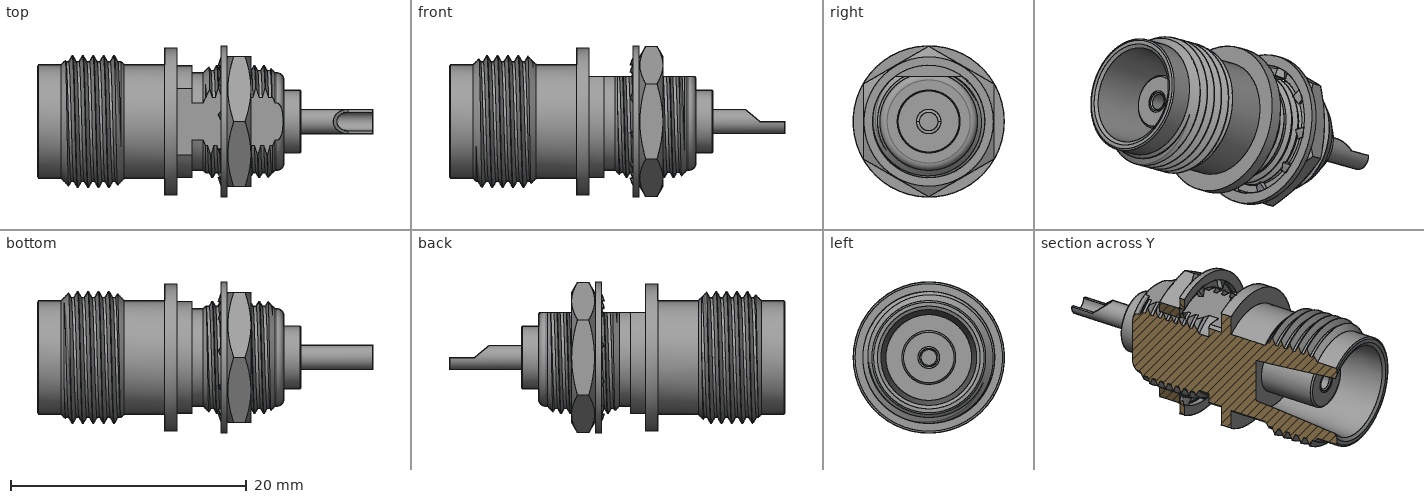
import cadquery as cq
import math


front_thread_start = 2.0
front_thread_end = 7.33
flange_start = 10.75
flange_end = 11.81
step_end = 13.1
rear_thread_start = 14.03
rear_thread_end = 20.1
barrel_end = 20.87
boss_end = 22.32
overall_length = 28.4

coupling_dia = 9.65
flange_dia = 12.5
step_dia = 9.5
neck_dia = 8.3
boss_dia = 5.35
pin_dia = 2.07

flat_height = 3.83
barrel_fillet = 0.62
boss_chamfer = 0.09
rim_chamfer_depth = 0.09
rim_chamfer_height = 0.15

front_thread_dia = 11.2
front_root_dia = 10.17
front_pitch = 0.88
front_crest_x = 2.73
rear_thread_dia = step_dia
rear_root_dia = 8.7
rear_pitch = 0.8
rear_crest_x = 15.0
crest_width = 0.05
ridge_embed = 0.09
flank_angle = 30.0
envelope_clearance = 0.28

socket_rim_dia = 8.72
socket_mouth_dia = 8.12
socket_floor_dia = 7.27
socket_mouth_x = 0.17
socket_floor_x = 8.25
dielectric_dia = 4.57
dielectric_front_x = 3.12
dielectric_chamfer = 0.15
contact_dia = 1.85
contact_recess = 0.05
contact_mouth_dia = 1.55
contact_hole_dia = 1.33
contact_taper = 0.1
contact_hole_depth = 2.85

cup_bore_dia = 1.55
cup_slope_start = 25.05
cup_slope_end = 26.3

washer_dia = 12.85
washer_start = 15.53
washer_thickness = 0.5
washer_ring_bore_dia = 11.08
tooth_count = 10
tooth_tip_radius = 4.83
tooth_width = 0.85
tooth_thickness = 0.4
tooth_twist = 28.0
tooth_root_inset = 0.05
tooth_overlap = 0.15
first_tooth_angle = 8.0

nut_start = washer_start + washer_thickness
nut_length = 2.05
nut_flats = 11.05
nut_front_face_dia = 10.8
nut_rear_face_dia = 10.95
nut_chamfer_angle = 30.0
nut_bore_dia = 9.55


def revolve_profile(points):
    """Solid of revolution about X from (x, radius) points."""
    return cq.Workplane("XY").polyline(points).close().revolve(360, (0, 0, 0), (1, 0, 0))


def cylinder(start, end, dia):
    """Cylinder on the X axis from start to end."""
    return cq.Workplane("YZ").workplane(offset=start).circle(dia / 2).extrude(end - start)


def threaded_core(start, end, end_dia, root_dia, crest_dia, pitch, crest_x):
    """Right-hand thread with 45 degree ends that run down to end_dia."""
    end_radius = end_dia / 2
    crest_radius = crest_dia / 2
    base_radius = root_dia / 2 - ridge_embed
    half_crest = crest_width / 2
    half_base = half_crest + (crest_radius - base_radius) * math.tan(math.radians(flank_angle))

    first_crest = crest_x - pitch * math.ceil((crest_x - start) / pitch + 1)
    length = pitch * math.ceil((end - first_crest) / pitch + 1)
    path = cq.Wire.makeHelix(pitch, length, base_radius)
    ridge = (
        cq.Workplane("XZ")
        .polyline([
            (base_radius, -half_base),
            (crest_radius, -half_crest),
            (crest_radius, half_crest),
            (base_radius, half_base),
        ])
        .close()
        .sweep(cq.Workplane(path), isFrenet=True)
        .rotate((0, 0, 0), (0, 1, 0), 90)
        .translate((first_crest, 0, 0))
    )

    rise = crest_radius - end_radius + envelope_clearance
    envelope = revolve_profile([
        (start, 0),
        (start, end_radius),
        (start + rise, end_radius + rise),
        (end - rise, end_radius + rise),
        (end, end_radius),
        (end, 0),
    ])
    core = cylinder(first_crest - pitch, first_crest + length + pitch, root_dia)
    return core.union(ridge).intersect(envelope)


def connector_blank():
    """Turned outside of the connector, without the threads."""
    coupling_radius = coupling_dia / 2
    blank = revolve_profile([
        (0, 0),
        (0, coupling_radius - rim_chamfer_height),
        (rim_chamfer_depth, coupling_radius),
        (front_thread_start, coupling_radius),
        (front_thread_end, coupling_radius),
        (flange_start, coupling_radius),
        (flange_start, 0),
    ])
    blank = blank.union(cylinder(flange_start, flange_end, flange_dia))
    blank = blank.union(cylinder(flange_end, step_end, step_dia))
    barrel = cylinder(step_end, barrel_end, neck_dia).faces(">X").edges().fillet(barrel_fillet)
    boss = cylinder(barrel_end, boss_end, boss_dia).faces(">X").edges().chamfer(boss_chamfer)
    return blank.union(barrel).union(boss)


def socket_cavity():
    """Tapered socket around the dielectric, and the stepped contact hole."""
    dielectric_radius = dielectric_dia / 2
    cavity = revolve_profile([
        (0, 0),
        (0, socket_rim_dia / 2),
        (socket_mouth_x, socket_mouth_dia / 2),
        (socket_floor_x, socket_floor_dia / 2),
        (socket_floor_x, dielectric_radius),
        (dielectric_front_x + dielectric_chamfer, dielectric_radius),
        (dielectric_front_x, dielectric_radius - dielectric_chamfer),
        (dielectric_front_x, 0),
    ])
    contact_face_x = dielectric_front_x + contact_recess
    contact_hole = revolve_profile([
        (dielectric_front_x, 0),
        (dielectric_front_x, contact_dia / 2),
        (contact_face_x, contact_dia / 2),
        (contact_face_x, contact_mouth_dia / 2),
        (contact_face_x + contact_taper, contact_hole_dia / 2),
        (contact_face_x + contact_hole_depth, contact_hole_dia / 2),
        (contact_face_x + contact_hole_depth, 0),
    ])
    return cavity.union(contact_hole)


def solder_pin():
    """Rear pin with its upper half sloped away to open the solder cup."""
    pin_radius = pin_dia / 2
    pin = cylinder(boss_end, overall_length, pin_dia)
    pin = pin.cut(cylinder(cup_slope_start, overall_length, cup_bore_dia))
    opening = (
        cq.Workplane("XZ")
        .polyline([
            (cup_slope_start, pin_radius),
            (cup_slope_end, 0),
            (overall_length, 0),
            (overall_length, pin_radius),
        ])
        .close()
        .extrude(pin_radius, both=True)
    )
    return pin.cut(opening)


def make_connector():
    front_thread = threaded_core(
        front_thread_start, front_thread_end, coupling_dia,
        front_root_dia, front_thread_dia, front_pitch, front_crest_x,
    )
    rear_thread = threaded_core(
        rear_thread_start, rear_thread_end, neck_dia,
        rear_root_dia, rear_thread_dia, rear_pitch, rear_crest_x,
    )
    flat_cut = (
        cq.Workplane("XY")
        .workplane(offset=flat_height)
        .moveTo((flange_end + barrel_end) / 2, 0)
        .rect(barrel_end - flange_end, step_dia)
        .extrude(step_dia / 2)
    )
    body = connector_blank().union(front_thread).union(rear_thread)
    return body.cut(flat_cut).cut(socket_cavity()).union(solder_pin())


def tooth_section(radius, twist, inset):
    """Closed wire across a tooth at a radius, inset from the back of the washer."""
    cos_twist = math.cos(math.radians(twist))
    sin_twist = math.sin(math.radians(twist))
    corners = [(0, 0), (tooth_width, 0), (tooth_width, tooth_thickness), (0, tooth_thickness)]
    points = []
    for across, thick in corners:
        lift = inset + across * sin_twist + thick * cos_twist
        shift = across * cos_twist - thick * sin_twist
        points.append(cq.Vector(nut_start - lift, radius, tooth_width - shift))
    return cq.Wire.makePolygon(points, close=True)


def make_washer():
    washer = cylinder(washer_start, nut_start, washer_dia)
    washer = washer.cut(cylinder(washer_start, nut_start, washer_ring_bore_dia))
    root_radius = washer_ring_bore_dia / 2 + tooth_overlap
    root = tooth_section(root_radius, 0, tooth_root_inset)
    tip = tooth_section(tooth_tip_radius, tooth_twist, 0)
    tooth = cq.Workplane(cq.Solid.makeLoft([root, tip], True))
    for index in range(tooth_count):
        angle = first_tooth_angle + index * 360 / tooth_count
        washer = washer.union(tooth.rotate((0, 0, 0), (1, 0, 0), angle))
    return washer


def make_nut():
    nut_end = nut_start + nut_length
    corner_dia = nut_flats / math.cos(math.radians(30))
    corner_radius = corner_dia / 2
    front_radius = nut_front_face_dia / 2
    rear_radius = nut_rear_face_dia / 2
    chamfer_slope = math.tan(math.radians(nut_chamfer_angle))
    front_chamfer = (corner_radius - front_radius) * chamfer_slope
    rear_chamfer = (corner_radius - rear_radius) * chamfer_slope
    hexagon = (
        cq.Workplane("YZ")
        .workplane(offset=nut_start)
        .transformed(rotate=(0, 0, 90))
        .polygon(6, corner_dia)
        .extrude(nut_length)
    )
    chamfer_envelope = revolve_profile([
        (nut_start, 0),
        (nut_start, front_radius),
        (nut_start + front_chamfer, corner_radius),
        (nut_end - rear_chamfer, corner_radius),
        (nut_end, rear_radius),
        (nut_end, 0),
    ])
    nut = hexagon.intersect(chamfer_envelope)
    return nut.cut(cylinder(nut_start, nut_end, nut_bore_dia))


connector = make_connector()
lock_washer = make_washer()
nut = make_nut()

result = cq.Compound.makeCompound([connector.val(), lock_washer.val(), nut.val()])